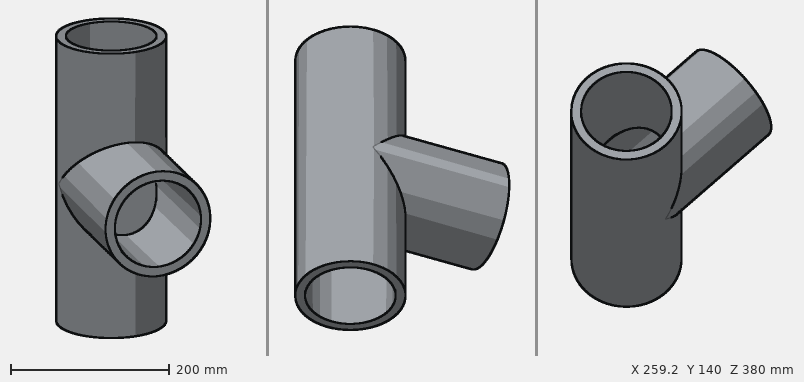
import cadquery as cq

run_length = 380.0
outer_diameter = 140.0
wall_thickness = 12.5
branch_reach = 189.2

bore_diameter = outer_diameter - 2 * wall_thickness


def tee_cylinders(diameter):
    """Joined run and branch cylinders whose axes meet at the origin."""
    run = cq.Workplane("XY").circle(diameter / 2).extrude(run_length / 2, both=True)
    branch = cq.Workplane("YZ").circle(diameter / 2).extrude(branch_reach)
    return run.union(branch)


result = tee_cylinders(outer_diameter).cut(tee_cylinders(bore_diameter))